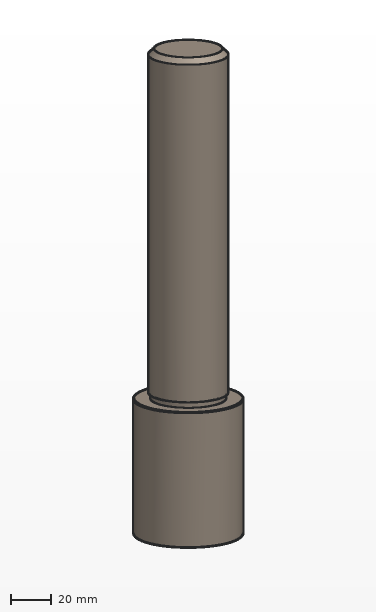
import cadquery as cq

total_length = 250.0
head_diameter = 55.0
head_length = 70.0
head_chamfer = 0.5
neck_diameter = 38.0
neck_length = 3.0
shank_diameter = 40.0
tip_chamfer = 3.0

shank_length = total_length - head_length - neck_length

head = (
    cq.Workplane("XY")
    .circle(head_diameter / 2)
    .extrude(head_length)
    .edges()
    .chamfer(head_chamfer)
)

neck = (
    cq.Workplane("XY")
    .workplane(offset=head_length)
    .circle(neck_diameter / 2)
    .extrude(neck_length)
)

shank = (
    cq.Workplane("XY")
    .workplane(offset=head_length + neck_length)
    .circle(shank_diameter / 2)
    .extrude(shank_length)
    .faces(">Z")
    .chamfer(tip_chamfer)
)

result = head.union(neck).union(shank)